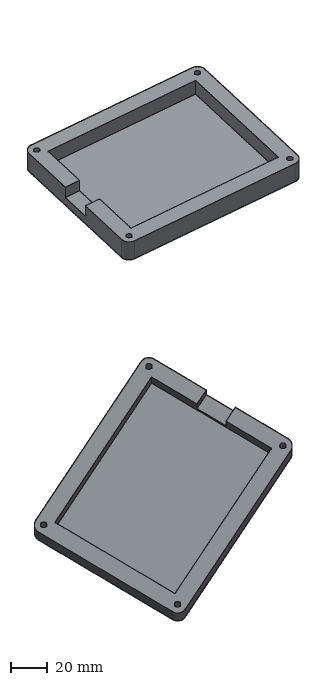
import cadquery as cq

width = 95.8
length = 117.4
height = 13.2
corner_radius = 5.0

wall = 9.5
pocket_depth = 10.0

notch_width = 18.5
notch_depth = 7.5

hole_diameter = 3.4


def make_body():
    """Flat block with rounded vertical edges, its base on Z = 0."""
    block = cq.Workplane("XY").box(width, length, height, centered=(True, True, False))
    return block.edges("|Z").fillet(corner_radius)


def cut_pocket(body):
    """Rectangular pocket leaving an even wall all round."""
    return (
        body.faces(">Z")
        .workplane(origin=(0, 0, height))
        .rect(width - 2 * wall, length - 2 * wall)
        .cutBlind(-pocket_depth)
    )


def cut_notch(body):
    """Opening from the front side into the pocket."""
    notch = cq.Workplane("XY").box(notch_width, wall, notch_depth, centered=(True, False, False))
    return body.cut(notch.translate((0, -length / 2, height - notch_depth)))


def cut_screw_holes(body):
    """Through hole in each corner."""
    return (
        body.faces(">Z")
        .workplane(origin=(0, 0, height))
        .rect(width - 2 * corner_radius, length - 2 * corner_radius, forConstruction=True)
        .vertices()
        .hole(hole_diameter)
    )


result = cut_screw_holes(cut_notch(cut_pocket(make_body())))